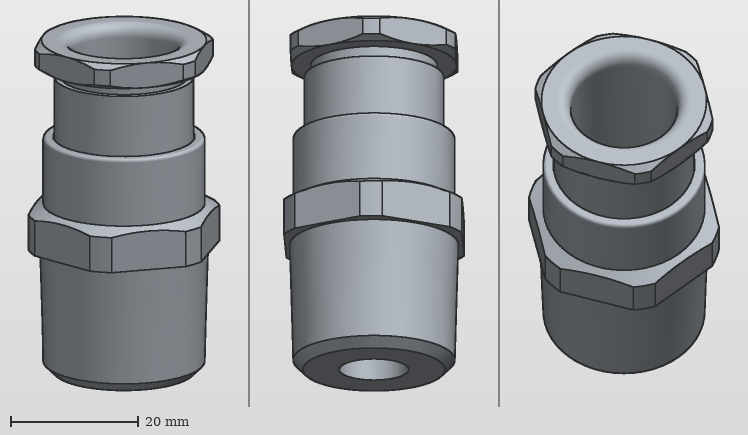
import cadquery as cq
import math


BODY_HEX_FLATS = 28.0
BODY_HEX_CORNER_DIA = 30.5
BODY_HEX_BOTTOM = 20.55
BODY_HEX_TOP = 27.5
BODY_HEX_CHAMFER_DROP = 1.2
COLLAR_DIA = 25.5
COLLAR_TOP = 38.45
COLLAR_FILLET = 0.55
THREAD_TOP_DIA = 26.6
THREAD_END_DIA = 25.5
THREAD_CHAMFER = 1.6

SEAT_HEIGHT = BODY_HEX_TOP
CABLE_BORE_TOP_DIA = 11.5
CABLE_BORE_BOTTOM_DIA = 10.95
CABLE_BORE_CHAMFER = 0.6

NUT_TOP = 54.25
NUT_HEX_HEIGHT = 4.05
NUT_HEX_BOTTOM = NUT_TOP - NUT_HEX_HEIGHT
NUT_HEX_FLATS = 26.0
NUT_HEX_CORNER_DIA = 28.6
NUT_HEX_CHAMFER_ANGLE = 30.0
NECK_DIA = 19.95
NECK_BOTTOM = 48.3
SLEEVE_DIA = 21.95
NUT_BORE_DIA = 16.8
NUT_MOUTH_RADIUS = 2.05

SLEEVE_CLEARANCE = 0.15
SLEEVE_RECESS_DIA = SLEEVE_DIA + 2 * SLEEVE_CLEARANCE


def revolve_about_z(profile):
    """Turn a closed (radius, height) profile one full turn about the Z axis."""
    return profile.close().revolve(360, (0, 0, 0), (0, 1, 0))


def turned(points):
    """Turned shape with straight edges through the (radius, height) points."""
    return revolve_about_z(cq.Workplane("XZ").polyline(points))


def hex_prism(across_flats, bottom, top):
    """Hexagonal prism with corners on the +Y and -Y sides."""
    corner_dia = across_flats / math.cos(math.radians(30))
    return (
        cq.Workplane("XY", origin=(0, 0, bottom))
        .transformed(rotate=(0, 0, 90))
        .polygon(6, corner_dia)
        .extrude(top - bottom)
    )


def make_body_hex():
    """Wrench hexagon of the body: rounded corners, top sloping down from the collar."""
    corner_radius = BODY_HEX_CORNER_DIA / 2
    blank = turned([
        (0, BODY_HEX_BOTTOM),
        (corner_radius, BODY_HEX_BOTTOM),
        (corner_radius, BODY_HEX_TOP - BODY_HEX_CHAMFER_DROP),
        (COLLAR_DIA / 2, BODY_HEX_TOP),
        (0, BODY_HEX_TOP),
    ])
    return hex_prism(BODY_HEX_FLATS, BODY_HEX_BOTTOM, BODY_HEX_TOP).intersect(blank)


def make_collar():
    """Round collar above the hexagon, with a filleted top edge."""
    return (
        cq.Workplane("XY", origin=(0, 0, BODY_HEX_BOTTOM))
        .circle(COLLAR_DIA / 2)
        .extrude(COLLAR_TOP - BODY_HEX_BOTTOM)
        .faces(">Z").edges().fillet(COLLAR_FILLET)
    )


def make_tapered_thread():
    """Plain taper standing for the pipe thread, chamfered at its free end."""
    end_radius = THREAD_END_DIA / 2
    return turned([
        (0, 0),
        (end_radius - THREAD_CHAMFER, 0),
        (end_radius, THREAD_CHAMFER),
        (THREAD_TOP_DIA / 2, BODY_HEX_BOTTOM),
        (0, BODY_HEX_BOTTOM),
    ])


def make_body_cavity():
    """Recess for the nut sleeve, then the chamfered and slightly tapered cable bore."""
    bore_top_radius = CABLE_BORE_TOP_DIA / 2
    recess_radius = SLEEVE_RECESS_DIA / 2
    return turned([
        (0, 0),
        (CABLE_BORE_BOTTOM_DIA / 2, 0),
        (bore_top_radius, SEAT_HEIGHT - CABLE_BORE_CHAMFER),
        (bore_top_radius + CABLE_BORE_CHAMFER, SEAT_HEIGHT),
        (recess_radius, SEAT_HEIGHT),
        (recess_radius, COLLAR_TOP),
        (0, COLLAR_TOP),
    ])


def make_gland_body():
    outside = make_tapered_thread().union(make_body_hex()).union(make_collar())
    return outside.cut(make_body_cavity())


def make_nut_hex():
    """Nut hexagon: rounded corners, both faces chamfered outside the inscribed circle."""
    flat_radius = NUT_HEX_FLATS / 2
    corner_radius = NUT_HEX_CORNER_DIA / 2
    chamfer_drop = (corner_radius - flat_radius) * math.tan(math.radians(NUT_HEX_CHAMFER_ANGLE))
    blank = turned([
        (0, NUT_HEX_BOTTOM),
        (flat_radius, NUT_HEX_BOTTOM),
        (corner_radius, NUT_HEX_BOTTOM + chamfer_drop),
        (corner_radius, NUT_TOP - chamfer_drop),
        (flat_radius, NUT_TOP),
        (0, NUT_TOP),
    ])
    return hex_prism(NUT_HEX_FLATS, NUT_HEX_BOTTOM, NUT_TOP).intersect(blank)


def make_nut_shank():
    """Sleeve that enters the body, with the narrower neck under the hexagon."""
    sleeve_radius = SLEEVE_DIA / 2
    neck_radius = NECK_DIA / 2
    return turned([
        (0, SEAT_HEIGHT),
        (sleeve_radius, SEAT_HEIGHT),
        (sleeve_radius, NECK_BOTTOM),
        (neck_radius, NECK_BOTTOM),
        (neck_radius, NUT_HEX_BOTTOM),
        (0, NUT_HEX_BOTTOM),
    ])


def make_nut_bore():
    """Straight through bore that flares out in a quarter round at the top face."""
    bore_radius = NUT_BORE_DIA / 2
    flare_diagonal = NUT_MOUTH_RADIUS * math.sqrt(0.5)
    flare_center = (bore_radius + NUT_MOUTH_RADIUS, NUT_TOP - NUT_MOUTH_RADIUS)
    profile = (
        cq.Workplane("XZ")
        .moveTo(0, SEAT_HEIGHT)
        .lineTo(bore_radius, SEAT_HEIGHT)
        .lineTo(bore_radius, flare_center[1])
        .threePointArc(
            (flare_center[0] - flare_diagonal, flare_center[1] + flare_diagonal),
            (flare_center[0], NUT_TOP),
        )
        .lineTo(0, NUT_TOP)
    )
    return revolve_about_z(profile)


def make_clamping_nut():
    return make_nut_shank().union(make_nut_hex()).cut(make_nut_bore())


gland_body = make_gland_body()
clamping_nut = make_clamping_nut()

result = cq.Compound.makeCompound([gland_body.solids().val(), clamping_nut.solids().val()])